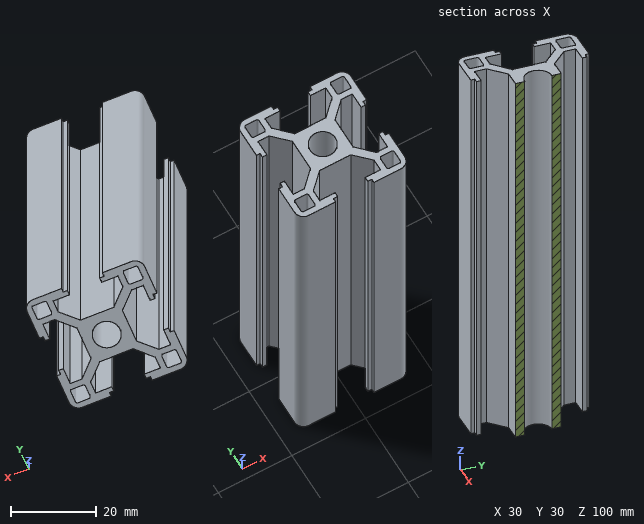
import cadquery as cq
import math


PROFILE_SIZE = 30.0
LENGTH = 100.0
CORNER_RADIUS = 2.5

SLOT_OPENING = 8.2
RECESS_WIDTH = 10.4
RECESS_DEPTH = 1.0
LIP_DEPTH = 2.2
CAVITY_WIDTH = 16.5

CORE_WIDTH = 11.6
RIB_THICKNESS = 2.2
BORE_DIAMETER = 6.8

CHAMBER_WALL = 1.5
CHAMBER_RADIUS = 0.5

SLOT_COUNT = 4
SLOT_ANGLE = 360.0 / SLOT_COUNT

HALF_SIZE = PROFILE_SIZE / 2
RIB_OFFSET = RIB_THICKNESS / math.sqrt(2)
CHAMBER_SIZE = (PROFILE_SIZE - CAVITY_WIDTH) / 2 - 2 * CHAMBER_WALL


def make_bar():
    """Solid square bar with rounded long edges."""
    bar = cq.Workplane("XY").rect(PROFILE_SIZE, PROFILE_SIZE).extrude(LENGTH)
    return bar.edges("|Z").fillet(CORNER_RADIUS)


def make_slot():
    """Cutter for the T-slot in the +Y face."""
    recess_x = RECESS_WIDTH / 2
    opening_x = SLOT_OPENING / 2
    cavity_x = CAVITY_WIDTH / 2
    recess_y = HALF_SIZE - RECESS_DEPTH
    lip_y = HALF_SIZE - LIP_DEPTH
    floor_y = CORE_WIDTH / 2
    right_half = [
        (recess_x, HALF_SIZE),
        (recess_x, recess_y),
        (opening_x, recess_y),
        (opening_x, lip_y),
        (cavity_x, lip_y),
        (cavity_x, cavity_x + RIB_OFFSET),
        (floor_y - RIB_OFFSET, floor_y),
    ]
    left_half = [(-x, y) for x, y in reversed(right_half)]
    return cq.Workplane("XY").polyline(right_half + left_half).close().extrude(LENGTH)


def make_chambers():
    """Cutters for the square, round-cornered chambers in the four corners."""
    spacing = PROFILE_SIZE - 2 * CHAMBER_WALL - CHAMBER_SIZE
    return (
        cq.Workplane("XY")
        .rect(spacing, spacing, forConstruction=True)
        .vertices()
        .rect(CHAMBER_SIZE, CHAMBER_SIZE)
        .extrude(LENGTH)
        .edges("|Z")
        .fillet(CHAMBER_RADIUS)
    )


def make_bore():
    """Cutter for the round bore along the centre line."""
    return cq.Workplane("XY").circle(BORE_DIAMETER / 2).extrude(LENGTH)


result = make_bar()
slot = make_slot()
for index in range(SLOT_COUNT):
    result = result.cut(slot.rotate((0, 0, 0), (0, 0, 1), index * SLOT_ANGLE))
result = result.cut(make_chambers()).cut(make_bore())